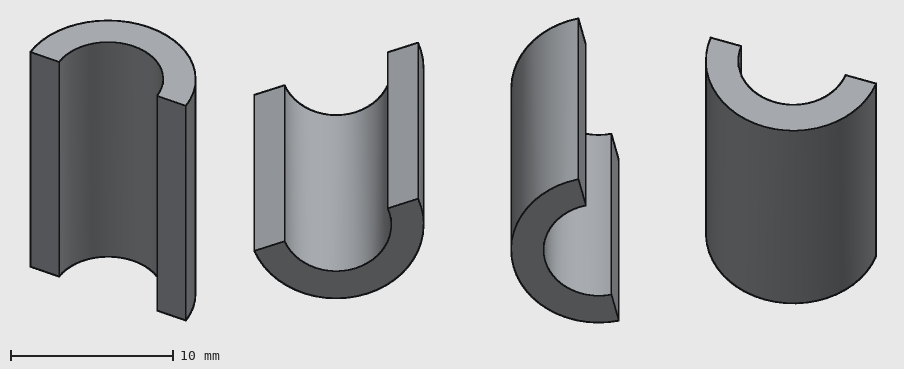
import cadquery as cq

length = 17.8
outer_diameter = 10.8
bore_diameter = 6.8

outer_radius = outer_diameter / 2
bore_radius = bore_diameter / 2

section = (
    cq.Workplane("XY")
    .moveTo(-outer_radius, 0)
    .threePointArc((0, outer_radius), (outer_radius, 0))
    .lineTo(bore_radius, 0)
    .threePointArc((0, bore_radius), (-bore_radius, 0))
    .close()
)

result = section.extrude(length)